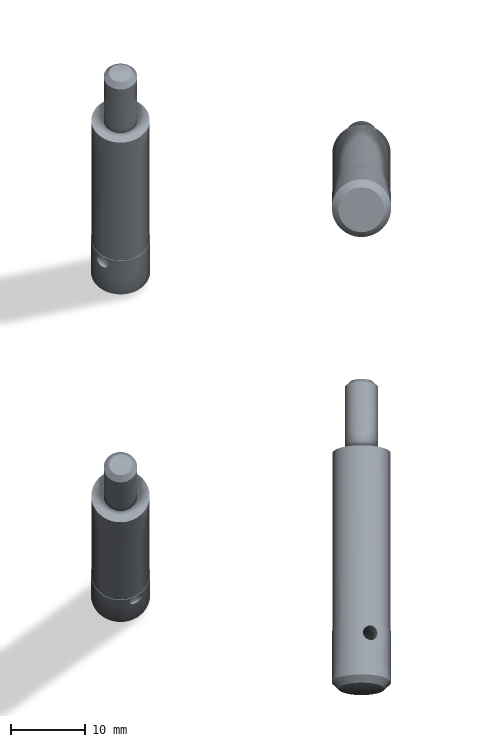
import cadquery as cq

length = 42.95
shoulder_height = 33.0
collar_height = 8.0

collar_diameter = 8.0
body_diameter = 7.85
pin_diameter = 4.5

bottom_chamfer = 0.9
pin_chamfer = 0.75

cross_hole_diameter = 2.0
cross_hole_height = 6.8


def turned_profile():
    """Solid of revolution about Z: chamfered collar, body and chamfered pin."""
    points = [
        (0, 0),
        (collar_diameter / 2 - bottom_chamfer, 0),
        (collar_diameter / 2, bottom_chamfer),
        (collar_diameter / 2, collar_height),
        (body_diameter / 2, collar_height),
        (body_diameter / 2, shoulder_height),
        (pin_diameter / 2, shoulder_height),
        (pin_diameter / 2, length - pin_chamfer),
        (pin_diameter / 2 - pin_chamfer, length),
        (0, length),
    ]
    return cq.Workplane("XZ").polyline(points).close().revolve(360, (0, 0), (0, 1))


def cross_hole():
    """Cylinder along Y that passes right through the collar."""
    return (
        cq.Workplane("XZ")
        .center(0, cross_hole_height)
        .circle(cross_hole_diameter / 2)
        .extrude(collar_diameter, both=True)
    )


result = turned_profile().cut(cross_hole())